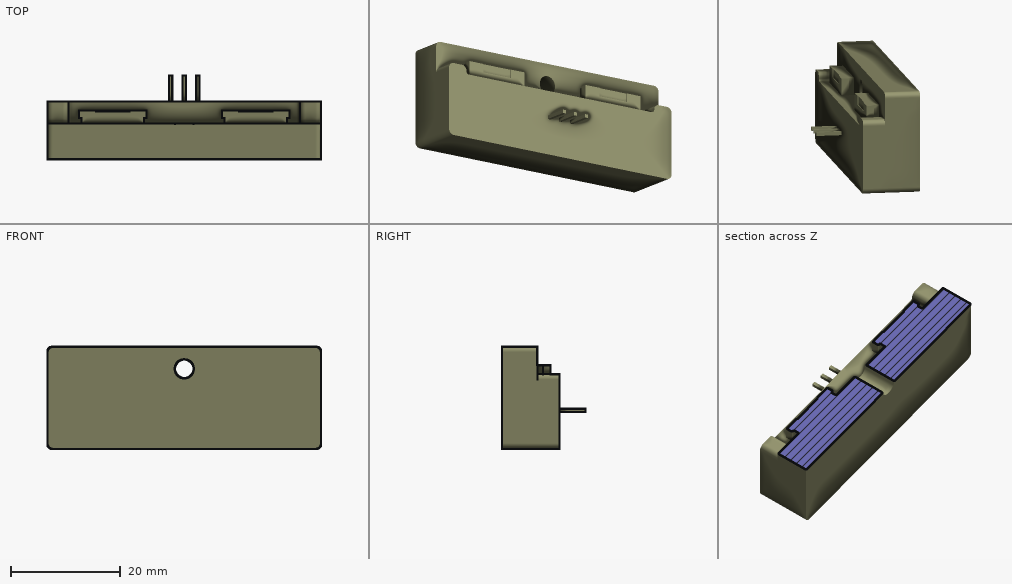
import cadquery as cq

length = 50.0
height = 18.7
corner_radius = 1.0
front_depth = 6.5
housing_depth = 10.55

shoulder_height = 13.7
shoulder_width = 3.9
saddle_drop = 1.6
saddle_radius = 0.5
saddle_height = shoulder_height - saddle_drop

hole_diameter = 3.4
hole_height = 14.65

connector_offset = 13.05
connector_top = 15.3
connector_back = 8.9
head_width = 12.4
head_front = 7.55
neck_width = 11.45
relief_width = 6.15
relief_depth = 0.15
relief_height = 1.6

pin_count = 3
pin_pitch = 2.5
pin_size = 0.65
pin_height = 7.05
overall_depth = 15.3


def box_between(x_center, width, y_range, z_range):
    """Box centred on x_center, spanning the given Y and Z ranges."""
    y_start, y_end = y_range
    z_start, z_end = z_range
    return (
        cq.Workplane("XY")
        .box(width, y_end - y_start, z_end - z_start, centered=(True, False, False))
        .translate((x_center, y_start, z_start))
    )


def make_front_plate():
    plate = box_between(0, length, (0, front_depth), (0, height)).edges("|Y").fillet(corner_radius)
    hole = (
        cq.Workplane("XZ")
        .center(0, hole_height)
        .circle(hole_diameter / 2)
        .extrude(-front_depth)
    )
    return plate.cut(hole)


def make_rear_block():
    saddle_width = length - 2 * shoulder_width
    depth_range = (front_depth, housing_depth)
    block = box_between(0, length, depth_range, (0, shoulder_height))
    saddle = box_between(0, saddle_width, depth_range, (saddle_height, shoulder_height))
    saddle = saddle.edges("|Y and <Z").fillet(saddle_radius)
    block = block.edges("|Y").fillet(corner_radius).cut(saddle)
    shoulder_lips = cq.selectors.BoxSelector(
        (-saddle_width / 2 - saddle_radius, 0, shoulder_height - saddle_radius),
        (saddle_width / 2 + saddle_radius, overall_depth, shoulder_height + saddle_radius),
    )
    return block.edges("|Y").edges(shoulder_lips).fillet(corner_radius)


def make_connector(x_center):
    z_range = (saddle_height, connector_top)
    neck = box_between(x_center, neck_width, (front_depth, head_front), z_range)
    head = box_between(x_center, head_width, (head_front, connector_back), z_range)
    relief = box_between(
        x_center,
        relief_width,
        (connector_back - relief_depth, connector_back),
        (connector_top - relief_height, connector_top),
    )
    return neck.union(head).cut(relief)


def make_pin(x_center):
    z_range = (pin_height - pin_size / 2, pin_height + pin_size / 2)
    return box_between(x_center, pin_size, (housing_depth, overall_depth), z_range)


result = make_front_plate().union(make_rear_block())

for side in (-1, 1):
    result = result.union(make_connector(side * connector_offset))

for index in range(pin_count):
    pin_x = (index - (pin_count - 1) / 2) * pin_pitch
    result = result.union(make_pin(pin_x))